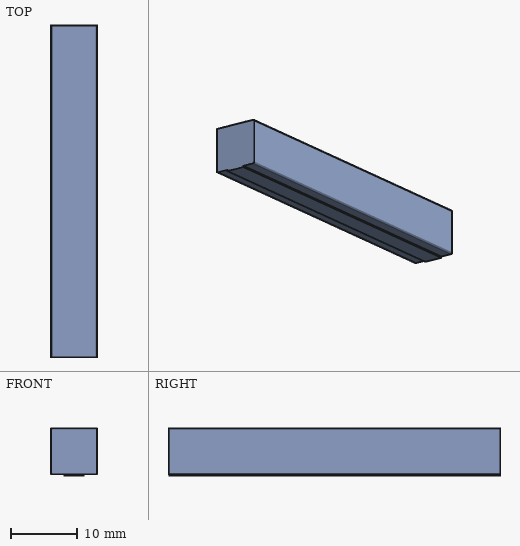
import cadquery as cq

width = 7.0
body_height = 7.0
length = 50.0
long_edge_radius = 0.2
front_edge_radius = 0.1

strip_width = 3.0
strip_thickness = 0.2
strip_length = length - front_edge_radius


def make_bar():
    bar = cq.Workplane("XY").box(width, length, body_height)
    bar = bar.edges("|Y").fillet(long_edge_radius)
    return bar.faces("<Y").edges().fillet(front_edge_radius)


def make_strip():
    return (
        cq.Workplane("XY")
        .box(strip_width, strip_length, 2 * strip_thickness)
        .translate((0, front_edge_radius / 2, -body_height / 2))
    )


result = make_bar().union(make_strip())